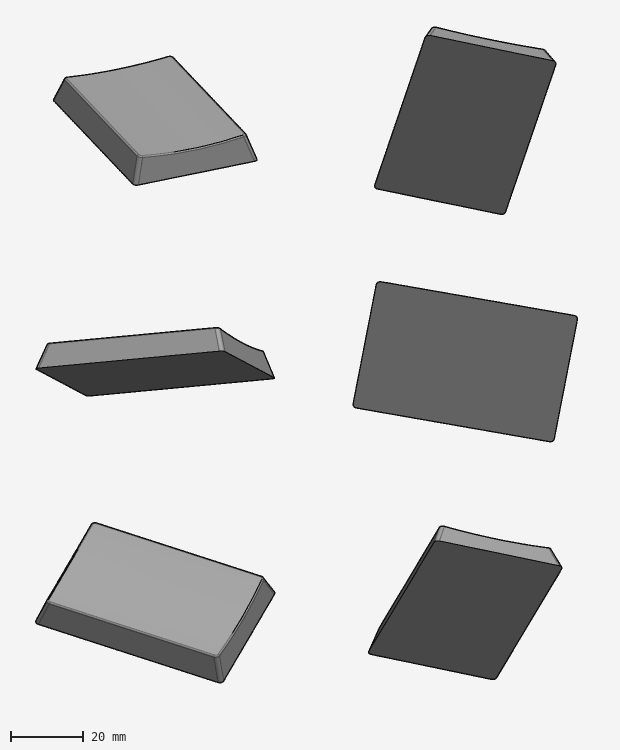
import cadquery as cq
import math

length = 56.4
width = 37.35
draft_angle = 18.0
corner_radius = 1.25

rim_height = 7.5
dish_depth = 1.0
rim_radius = 0.5
trim_allowance = 0.55


def tapered_block():
    """Drafted block with its four slanted corner edges rounded."""
    blank_height = rim_height + trim_allowance
    block = cq.Workplane("XY").rect(length, width).extrude(blank_height, taper=draft_angle)
    slanted_edges = block.edges("not(#Z or |X or |Y)")
    return slanted_edges.fillet(corner_radius)


def dish_cutter():
    """Cylinder along X that hollows the top, lowest along the centre line."""
    half_chord = width / 2 - rim_height * math.tan(math.radians(draft_angle))
    dish_radius = (half_chord**2 + dish_depth**2) / (2 * dish_depth)
    axis_height = rim_height - dish_depth + dish_radius
    return (
        cq.Workplane("YZ")
        .center(0, axis_height)
        .circle(dish_radius)
        .extrude(length, both=True)
    )


def round_rim(body):
    """Round the whole edge loop around the dished face."""
    dish_centre = (0, 0, rim_height - dish_depth)
    dish_face = body.faces(cq.selectors.NearestToPointSelector(dish_centre))
    return dish_face.edges().fillet(rim_radius)


result = round_rim(tapered_block().cut(dish_cutter()))